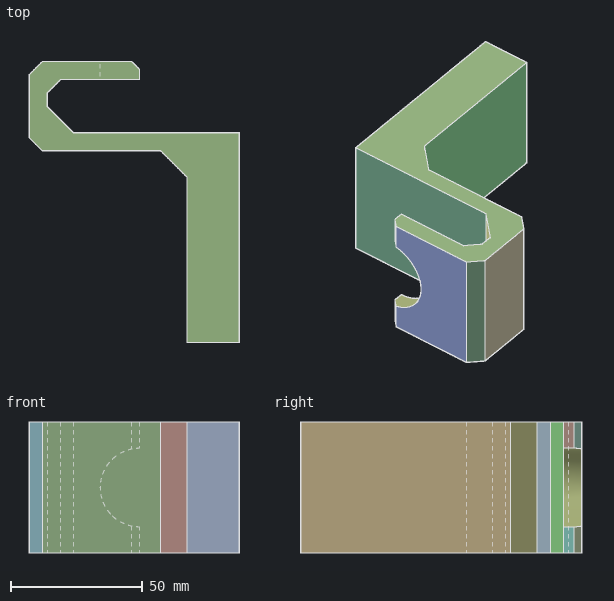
import cadquery as cq

width = 80.0
length = 107.0
height = 50.0

wall = 7.0
leg_thickness = 20.0
hook_depth = 34.0
lip_length = 42.0

corner_bevel = 5.0
brace_bevel = 10.0
tip_bevel = 3.0

notch_radius = 15.0

arm_outer_y = length - hook_depth
arm_inner_y = arm_outer_y + wall
lip_inner_y = length - wall
leg_inner_x = width - leg_thickness


def hook_profile():
    """Bent outline, counterclockwise from the foot of the leg."""
    points = [
        (leg_inner_x, 0),
        (width, 0),
        (width, arm_inner_y),
        (wall + brace_bevel, arm_inner_y),
        (wall, arm_inner_y + brace_bevel),
        (wall, lip_inner_y - corner_bevel),
        (wall + corner_bevel, lip_inner_y),
        (lip_length, lip_inner_y),
        (lip_length, length - tip_bevel),
        (lip_length - tip_bevel, length),
        (corner_bevel, length),
        (0, length - corner_bevel),
        (0, arm_outer_y + corner_bevel),
        (corner_bevel, arm_outer_y),
        (leg_inner_x - brace_bevel, arm_outer_y),
        (leg_inner_x, arm_outer_y - brace_bevel),
    ]
    return cq.Workplane("XY").polyline(points).close()


def lip_notch():
    """Cylinder along Y, centred on the lip end at mid height."""
    return (
        cq.Workplane("XZ", origin=(lip_length, length, height / 2))
        .circle(notch_radius)
        .extrude(wall)
    )


result = hook_profile().extrude(height).cut(lip_notch())